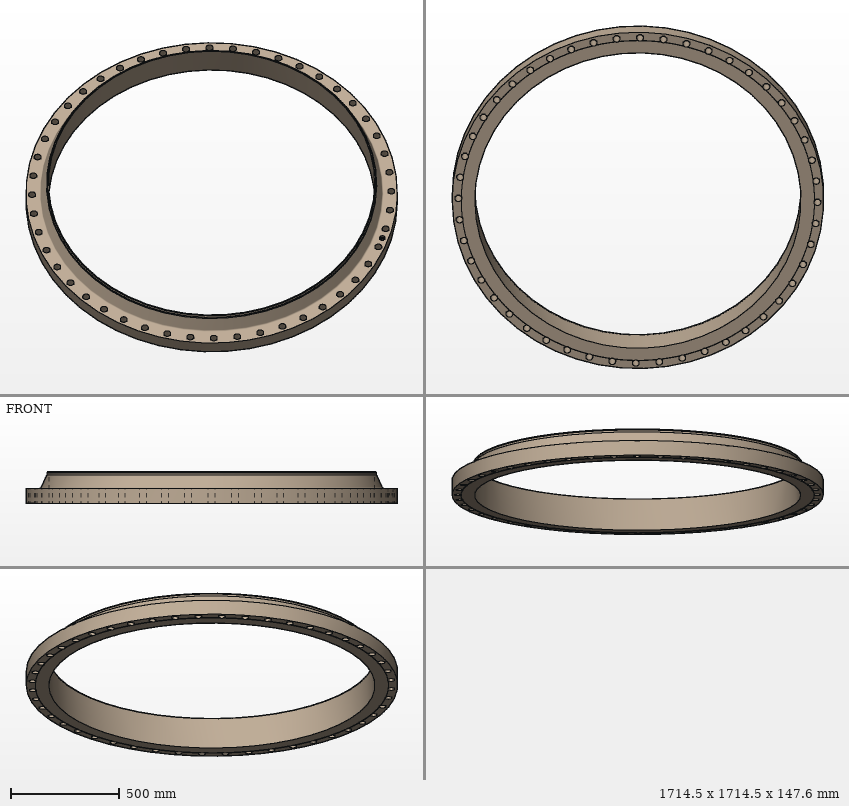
import cadquery as cq
import math

overall_height = 147.64
flange_diameter = 1714.5
flange_top = 71.0
bore_diameter = 1504.95
raised_face_diameter = 1630.0
raised_face_height = 2.0

hub_base_diameter = 1581.0
hub_root_fillet = 8.0
pipe_diameter = 1524.0
collar_height = 15.0

weld_land = 5.0
bevel_angle = 37.5

bolt_count = 48
bolt_circle_diameter = 1657.4
bolt_hole_diameter = 31.8

bolt_pitch_angle = 360 / bolt_count
blind_hole_angle = bolt_pitch_angle / 2
blind_hole_diameter = 25.4
blind_hole_depth = 12.7
pilot_diameter = 12.7
pilot_depth = 25.4


def flange_body():
    """Revolve the half section around Z and round the root of the hub."""
    bore_radius = bore_diameter / 2
    face_radius = raised_face_diameter / 2
    flange_radius = flange_diameter / 2
    hub_base_radius = hub_base_diameter / 2
    pipe_radius = pipe_diameter / 2
    land_radius = bore_radius + weld_land
    bevel_height = (pipe_radius - land_radius) / math.tan(math.radians(bevel_angle))
    section = (
        cq.Workplane("XZ")
        .moveTo(bore_radius, 0)
        .lineTo(face_radius, 0)
        .lineTo(face_radius, raised_face_height)
        .lineTo(flange_radius, raised_face_height)
        .lineTo(flange_radius, flange_top)
        .lineTo(hub_base_radius, flange_top)
        .lineTo(pipe_radius, overall_height - collar_height)
        .lineTo(pipe_radius, overall_height - bevel_height)
        .lineTo(land_radius, overall_height)
        .lineTo(bore_radius, overall_height)
        .close()
    )
    body = section.revolve(360, (0, 0, 0), (0, 1, 0))
    root_edges = body.edges("%CIRCLE").filter(
        lambda edge: math.isclose(edge.radius(), hub_base_radius)
    )
    return body.newObject(root_edges.vals()).fillet(hub_root_fillet)


def bolt_holes():
    """Cylinders that cut the full ring of bolt holes."""
    return (
        cq.Workplane("XY")
        .polarArray(bolt_circle_diameter / 2, 0, 360, bolt_count)
        .circle(bolt_hole_diameter / 2)
        .extrude(flange_top)
    )


def blind_hole():
    """Stepped cutter for the blind hole, sunk from the top of the flange."""
    cutter = (
        cq.Workplane("XY", origin=(bolt_circle_diameter / 2, 0, flange_top))
        .circle(blind_hole_diameter / 2)
        .extrude(-blind_hole_depth)
        .circle(pilot_diameter / 2)
        .extrude(-pilot_depth)
    )
    return cutter.rotate((0, 0, 0), (0, 0, 1), blind_hole_angle)


result = flange_body().cut(bolt_holes()).cut(blind_hole())